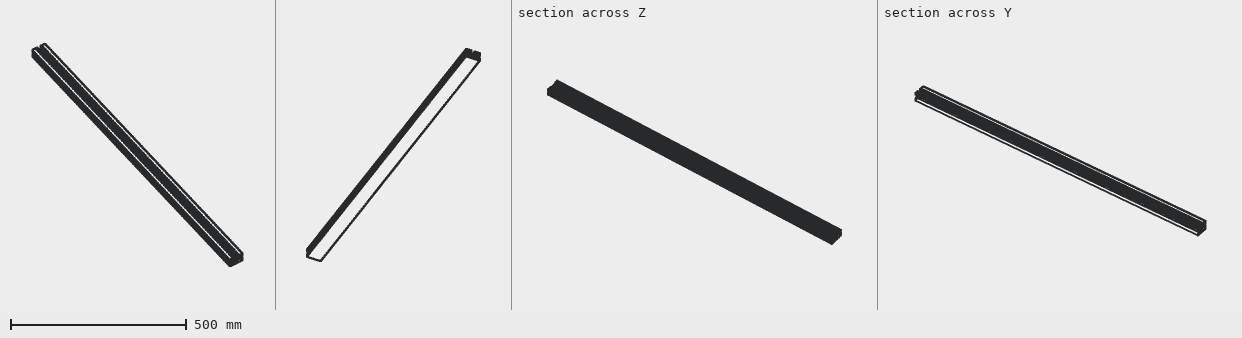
import cadquery as cq

length = 1000.0
width = 45.0
height = 30.0
corner_radius = 2.0
half_width = width / 2
half_height = height / 2

opening_half = 4.95
lip_radius = 0.9
hook_depth = 6.0
hook_back = 7.2
hook_rise = 1.0
top_lip = 1.85
top_slot_half = 9.1
top_slot_depth = 12.15
groove_half = 1.85
groove_depth = 0.3

side_opening_half = 4.2
side_lip = 2.5
side_slot_half = 8.2
side_taper_start = 5.9
side_slot_depth = 9.8
side_floor_half = side_slot_half - (side_slot_depth - side_taper_start)

side_wall = 1.55
top_wall = 2.85
hollow_outer = half_width - side_wall
hollow_far = half_height - top_wall
hollow_shelf = 9.7
shelf_end = 17.15
corner_slope_end = 12.15
corner_slope_z = hollow_shelf - (shelf_end - corner_slope_end)
corner_inner = 11.6

bottom_inner = 11.7
bottom_slope_z = -5.15
bottom_ceiling = 2.2

boss_half = 4.9
boss_bottom = -7.9
bore_radius = 3.6
bore_z = -2.0


def extrude_section(points):
    """Prism over the whole length from (Y, Z) section points."""
    start = cq.Workplane("YZ", origin=(-length / 2, 0, 0))
    return start.polyline(points).close().extrude(length)


def flip_y(points):
    return [(-y, z) for y, z in points]


def flip_z(points):
    return [(y, -z) for y, z in points]


def symmetric_in_y(half):
    """Complete a +Y half outline with its mirror image."""
    return half + flip_y(half[::-1])


def make_blank():
    return cq.Workplane("XY").box(length, width, height).edges("|X").fillet(corner_radius)


def make_top_slot():
    hook_z = half_height - hook_depth
    lip_z = half_height - top_lip
    floor_z = half_height - top_slot_depth
    groove_z = floor_z - groove_depth
    half = [
        (opening_half, half_height),
        (opening_half, hook_z),
        (hook_back, hook_z + hook_rise),
        (hook_back, lip_z),
        (top_slot_half, lip_z),
        (top_slot_half, floor_z),
        (groove_half, floor_z),
        (groove_half, groove_z),
    ]
    return extrude_section(symmetric_in_y(half))


def round_top_lips(body):
    """Round the two outer edges of the top slot opening."""
    reach = lip_radius / 2
    for y in (opening_half, -opening_half):
        edge_box = cq.selectors.BoxSelector(
            (-reach, y - reach, half_height - reach),
            (reach, y + reach, half_height + reach),
        )
        body = body.edges(edge_box).fillet(lip_radius)
    return body


def side_slot_points():
    lip_y = half_width - side_lip
    upper = [
        (half_width, side_opening_half),
        (lip_y, side_opening_half),
        (lip_y, side_slot_half),
        (half_width - side_taper_start, side_slot_half),
        (half_width - side_slot_depth, side_floor_half),
    ]
    return upper + flip_z(upper[::-1])


def corner_hollow_points():
    return [
        (hollow_outer, hollow_far),
        (hollow_outer, hollow_shelf),
        (shelf_end, hollow_shelf),
        (corner_slope_end, corner_slope_z),
        (corner_inner, corner_slope_z),
        (corner_inner, hollow_far),
    ]


def make_bottom_hollow():
    """Wide hollow that wraps around the screw boss."""
    half = [
        (boss_half, boss_bottom),
        (boss_half, bottom_ceiling),
        (bottom_inner, bottom_ceiling),
        (bottom_inner, bottom_slope_z),
        (shelf_end, -hollow_shelf),
        (hollow_outer, -hollow_shelf),
        (hollow_outer, -hollow_far),
    ]
    return extrude_section(symmetric_in_y(half))


def make_bore():
    start = cq.Workplane("YZ", origin=(-length / 2, 0, bore_z))
    return start.circle(bore_radius).extrude(length)


body = round_top_lips(make_blank().cut(make_top_slot()))
for points in (side_slot_points(), corner_hollow_points()):
    body = body.cut(extrude_section(points))
    body = body.cut(extrude_section(flip_y(points)))
result = body.cut(make_bottom_hollow()).cut(make_bore())